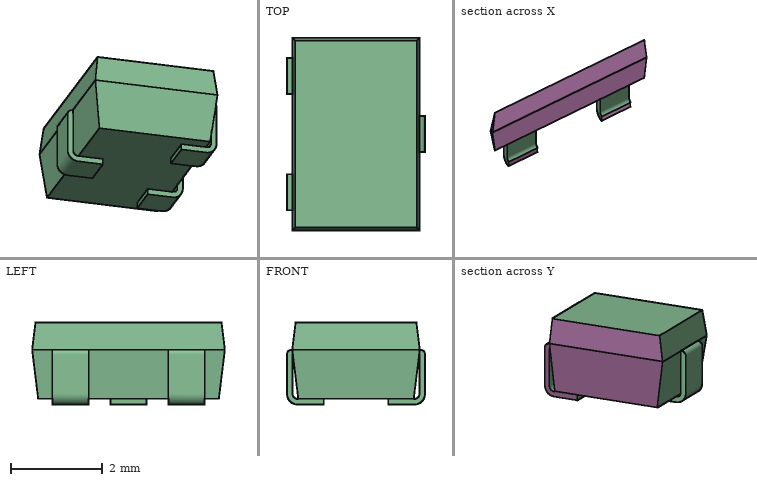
import cadquery as cq
import math

overall_width = 3.03
overall_height = 1.8

housing_width = 2.8
housing_length = 4.23
parting_height = 1.205
draft_angle = 7.0

lead_thickness = 0.125
lead_width = 0.795
foot_length = 0.81
lead_pitch = 2.545
shoulder_radius = 0.1
bend_inner_radius = 0.11
bend_outer_radius = bend_inner_radius + lead_thickness


def make_housing_half(height):
    """Taper the parting outline over a signed height from the parting plane."""
    inset = abs(height) * math.tan(math.radians(draft_angle))
    return (
        cq.Workplane("XY", origin=(0, 0, parting_height))
        .rect(housing_width, housing_length)
        .workplane(offset=height)
        .rect(housing_width - 2 * inset, housing_length - 2 * inset)
        .loft(ruled=True, combine=True)
    )


def make_lead(side, center_y):
    """Bend a lead down one side (-1 or +1 along X) with its foot under the housing."""
    outer = overall_width / 2
    inner = outer - lead_thickness
    foot_end = outer - foot_length
    bend_x = outer - bend_outer_radius
    bend_z = bend_outer_radius
    shoulder_x = outer - shoulder_radius
    shoulder_z = parting_height - shoulder_radius
    diagonal = math.sqrt(0.5)

    profile = (
        cq.Workplane("XZ", origin=(0, center_y, 0))
        .moveTo(side * foot_end, 0)
        .lineTo(side * bend_x, 0)
        .threePointArc(
            (side * (bend_x + bend_outer_radius * diagonal), bend_z - bend_outer_radius * diagonal),
            (side * outer, bend_z),
        )
        .lineTo(side * outer, shoulder_z)
        .threePointArc(
            (side * (shoulder_x + shoulder_radius * diagonal), shoulder_z + shoulder_radius * diagonal),
            (side * shoulder_x, parting_height),
        )
        .lineTo(side * inner, parting_height)
        .lineTo(side * inner, bend_z)
        .threePointArc(
            (side * (bend_x + bend_inner_radius * diagonal), bend_z - bend_inner_radius * diagonal),
            (side * bend_x, lead_thickness),
        )
        .lineTo(side * foot_end, lead_thickness)
        .close()
    )
    return profile.extrude(lead_width / 2, both=True)


lead_places = [(-1, -lead_pitch / 2), (-1, lead_pitch / 2), (1, 0)]
leads = [make_lead(side, center_y) for side, center_y in lead_places]

upper_housing = make_housing_half(overall_height - parting_height)

lower_housing = make_housing_half(lead_thickness - parting_height)
for lead in leads:
    lower_housing = lower_housing.cut(lead)

result = cq.Compound.makeCompound(
    [upper_housing.val(), lower_housing.val(), *[lead.val() for lead in leads]]
)